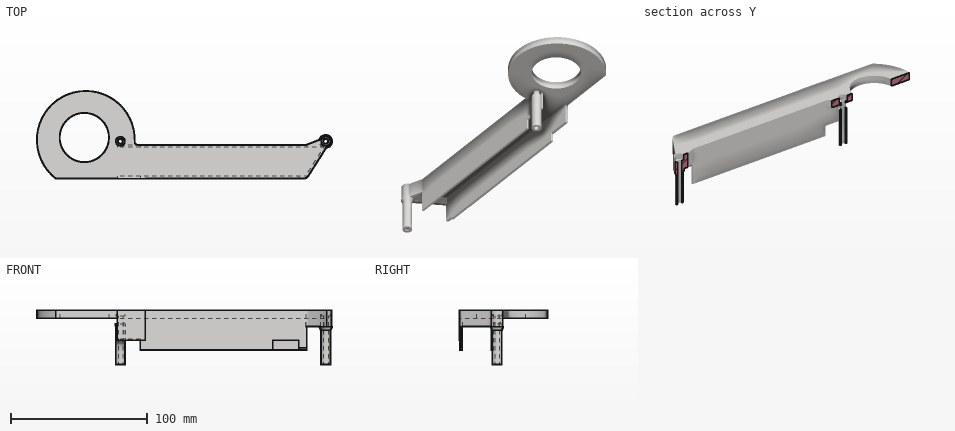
import cadquery as cq
import math

plate_thickness = 6.0
ring_radius = 36.0
ring_x = ring_radius
ring_y = 28.3
bore_diameter = 36.0
bore_x = 34.8
bore_y = 30.0
arm_width = 24.7
neck_fillet = 2.2

end_corner_x = 197.7
end_fillet = 4.1
slant_top_x = 212.2
slant_top_y = 23.0
tongue_start_x = 197.0
tongue_tip_x = 207.7
tongue_tip_y = 28.8
end_depth = 12.1
slant_wall = 2.0

front_wall = 2.0
back_wall = 1.5
wall_start_x = 75.7
wall_end_x = 197.7
wall_depth = 29.5
panel_start_x = 58.8
panel_end_x = 79.6
panel_depth = 22.3
back_panel_depth = 21.0

relief = 0.2
recess_start_x = 172.8
recess_end_x = 191.7
corner_trim = 1.7

post_y = 27.3
ring_post_x = 61.2
end_post_x = 211.5
post_diameter = 7.1
post_bottom = 40.0
hole_diameter = 3.5
counterbore_diameter = 6.7
counterbore_depth = 4.3
post_neck_diameter = 4.8
post_neck_bottom = 10.0
boss_radius = 4.3
flare_radius = 4.8
flare_top = 12.3
flare_bottom = 15.0


def box(x0, x1, y0, y1, z0, z1):
    return cq.Workplane("XY").box(x1 - x0, y1 - y0, z1 - z0, centered=False).translate((x0, y0, z0))


def cylinder(x, y, radius, top, bottom):
    """Vertical cylinder between two depths below the top face."""
    return cq.Workplane("XY", origin=(x, y, -bottom)).circle(radius).extrude(bottom - top)


def arm_prism(depth):
    """Arm with its slanted end and tongue, starting at the ring's centre."""
    outline = [
        (ring_x, 0),
        (end_corner_x, 0),
        (slant_top_x, slant_top_y),
        (end_post_x, post_y),
        (tongue_tip_x, tongue_tip_y),
        (tongue_start_x, arm_width),
        (ring_x, arm_width),
    ]
    prism = cq.Workplane("XY").polyline(outline).close().extrude(-depth)
    corner = cq.selectors.NearestToPointSelector((end_corner_x, 0, -depth / 2))
    return prism.edges(corner).fillet(end_fillet)


def plate():
    ring = cylinder(ring_x, ring_y, ring_radius, 0, plate_thickness)
    ring = ring.cut(box(0, 2 * ring_radius, -ring_radius, 0, -plate_thickness, 0))
    body = ring.union(arm_prism(plate_thickness))
    meeting_x = ring_x + math.sqrt(ring_radius**2 - (arm_width - ring_y)**2)
    inner_corner = cq.selectors.NearestToPointSelector((meeting_x, arm_width, -plate_thickness / 2))
    body = body.edges(inner_corner).fillet(neck_fillet)
    return body.cut(cylinder(bore_x, bore_y, bore_diameter / 2, 0, plate_thickness))


def deep_end():
    """Slanted wall and tongue, deeper than the plate, open toward the ring."""
    slant_angle = math.atan2(slant_top_y, slant_top_x - end_corner_x)
    wall_shift = slant_wall / math.sin(slant_angle)
    slope = (slant_top_x - end_corner_x) / slant_top_y
    cavity_top_y = arm_width - back_wall
    inner_start_x = end_corner_x - wall_shift
    cavity = (
        cq.Workplane("XY")
        .polyline([
            (0, front_wall),
            (inner_start_x + slope * front_wall, front_wall),
            (inner_start_x + slope * cavity_top_y, cavity_top_y),
            (0, cavity_top_y),
        ])
        .close()
        .extrude(-end_depth)
    )
    left_part = box(0, wall_start_x, 0, arm_width, -end_depth, 0)
    return arm_prism(end_depth).cut(cavity).cut(left_part)


def walls():
    """Front and back walls, each with a shallower panel at the ring end."""
    back_y = arm_width - back_wall
    front = box(wall_start_x, wall_end_x, 0, front_wall, -wall_depth, 0)
    front = front.intersect(arm_prism(wall_depth))
    front = front.cut(box(recess_end_x, wall_end_x, 0, front_wall, -wall_depth, corner_trim - wall_depth))
    back = box(wall_start_x, wall_end_x, back_y, arm_width, -wall_depth, 0)
    back_panel = box(panel_start_x, panel_end_x, back_y, arm_width, -back_panel_depth, 0)
    return front.union(back).union(back_panel)


def front_panel():
    return box(panel_start_x, panel_end_x, -relief, front_wall, -panel_depth, 0)


def front_recess():
    return box(recess_start_x, recess_end_x, 0, relief, -wall_depth, -panel_depth)


def ring_post():
    neck = cylinder(ring_post_x, post_y, post_neck_diameter / 2, counterbore_depth, post_neck_bottom)
    return neck.union(cylinder(ring_post_x, post_y, post_diameter / 2, post_neck_bottom, post_bottom))


def end_post():
    boss = cylinder(end_post_x, post_y, boss_radius, 0, flare_top)
    post = cylinder(end_post_x, post_y, post_diameter / 2, flare_top, post_bottom)
    flare = cq.Workplane(cq.Solid.makeCone(
        post_diameter / 2, flare_radius, flare_bottom - flare_top,
        cq.Vector(end_post_x, post_y, -flare_bottom),
    ))
    return boss.union(post).union(flare)


result = plate().union(deep_end()).union(walls()).union(front_panel()).cut(front_recess())
result = result.union(ring_post()).union(end_post())
for post_x in (ring_post_x, end_post_x):
    result = result.cut(cylinder(post_x, post_y, hole_diameter / 2, 0, post_bottom))
    result = result.cut(cylinder(post_x, post_y, counterbore_diameter / 2, 0, counterbore_depth))